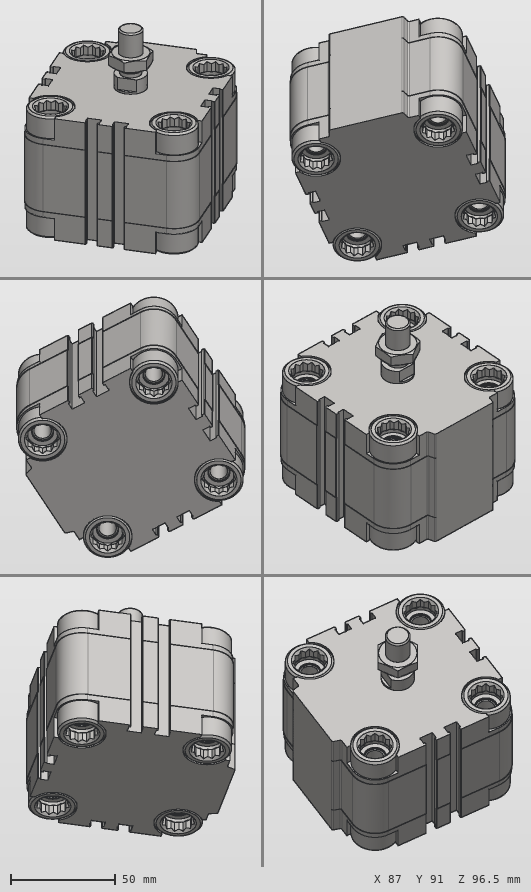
import cadquery as cq
import math

BODY_HALF = 43.5
BODY_HEIGHT = 65.1
CAP_HEIGHT = 14.6
CAP_INSET = 0.24
FOOT_REACH = 47.5
FOOT_TOP_HALF = 18.7
FOOT_BASE_HALF = 20.0
FOOT_FILLET = 0.8

SLOT_OFFSET = 6.8
SLOT_OPENING = 5.5
SLOT_WIDTH = 6.9
SLOT_DEPTH = 5.4
SLOT_LIP = 1.8
SLOT_EDGE_CHAMFER = 0.4
SLOT_SIDE_ANGLES = (0, 90, -90)

BOSS_OFFSET = 30.9
BOSS_DIAMETER = 23.4
BOSS_CHAMFER = 1.1
CORNER_STEP_EDGE = 25.3
CORNER_STEP_DEPTH = 11.5
SOCKET_MOUTH_DIAMETER = 17.4
SOCKET_TIP_DIAMETER = 16.0
SOCKET_POINTS = 12
SOCKET_DEPTH = 6.0
SOCKET_MOUTH_ANGLE = 48
SOCKET_FLOOR_DEPTH = 8.0
RELIEF_DIAMETER = 15.4
SEAT_DIAMETER = 10.0
SEAT_CHAMFER = 0.3
SEAT_DEPTH = 1.0
THROUGH_DIAMETER = 8.4

ROD_TOP = 96.5
ROD_DIAMETER = 16.0
ROD_SHOULDER = 72.6
FLAT_BOTTOM = 66.2
FLAT_WIDTH = 12.9
NECK_DIAMETER = 10.6
THREAD_DIAMETER = 12.0
THREAD_BOTTOM = 74.6
THREAD_CHAMFER = 0.8
ROD_BOTTOM = BODY_HEIGHT - CAP_HEIGHT

NUT_BOTTOM = 77.4
NUT_THICKNESS = 6.3
NUT_ACROSS_FLATS = 19.0
NUT_FACE_DIAMETER = 18.3
NUT_CHAMFER_ANGLE = 20


def profile(inset, height):
    """Rounded square with the foot; the inset shrinks the square but not the foot."""
    half = BODY_HALF - inset
    square = (
        cq.Workplane("XY").rect(2 * half, 2 * half).extrude(height)
        .edges("|Z").fillet(half - BOSS_OFFSET)
    )
    foot = (
        cq.Workplane("XY")
        .moveTo(-FOOT_BASE_HALF, 0)
        .lineTo(-FOOT_BASE_HALF, half)
        .lineTo(-FOOT_TOP_HALF, FOOT_REACH)
        .lineTo(FOOT_TOP_HALF, FOOT_REACH)
        .lineTo(FOOT_BASE_HALF, half)
        .lineTo(FOOT_BASE_HALF, 0)
        .close()
        .extrude(height)
    )
    foot_corners = cq.selectors.BoxSelector(
        (-FOOT_BASE_HALF - 1, half - 1, -1),
        (FOOT_BASE_HALF + 1, FOOT_REACH + 1, height + 1),
    )
    return square.union(foot).edges("|Z").edges(foot_corners).fillet(FOOT_FILLET)


def slot_pair(half):
    """The two T-slots of the -Y side, for a side face at the given distance from the centre."""
    lip_edge = -BODY_HALF + SLOT_LIP
    floor = -BODY_HALF + SLOT_DEPTH
    opening = SLOT_OPENING / 2
    width = SLOT_WIDTH / 2
    mouth = opening + SLOT_EDGE_CHAMFER
    right_side = [
        (mouth, -half - 1),
        (mouth, -half),
        (opening, -half + SLOT_EDGE_CHAMFER),
        (opening, lip_edge),
        (width, lip_edge),
        (width, floor),
    ]
    left_side = [(-x, y) for x, y in reversed(right_side)]
    slot = cq.Workplane("XY").polyline(right_side + left_side).close().extrude(BODY_HEIGHT)
    return slot.translate((SLOT_OFFSET, 0, 0)).union(slot.translate((-SLOT_OFFSET, 0, 0)))


def slotted_section(inset, bottom, height):
    """One length of the housing with the T-slots cut into it."""
    section = profile(inset, height)
    for angle in SLOT_SIDE_ANGLES:
        section = section.cut(slot_pair(BODY_HALF - inset).rotate((0, 0, 0), (0, 0, 1), angle))
    return section.translate((0, 0, bottom))


def turned(points):
    """Solid turned about Z from (radius, height) points."""
    return cq.Workplane("XZ").polyline(points).close().revolve(360, (0, 0, 0), (0, 1, 0))


def corner_step():
    """Material removed around a boss at the top of the +X +Y corner, with the boss axis on Z."""
    size = 2 * BOSS_OFFSET
    edge = CORNER_STEP_EDGE - BOSS_OFFSET
    block = cq.Workplane("XY").box(size, size, CORNER_STEP_DEPTH, centered=False)
    block = block.translate((edge, edge, -CORNER_STEP_DEPTH))
    boss = cq.Workplane("XY").circle(BOSS_DIAMETER / 2).extrude(-CORNER_STEP_DEPTH)
    radius = BOSS_DIAMETER / 2
    groove = turned([(radius - BOSS_CHAMFER, 0), (radius, 0), (radius, -BOSS_CHAMFER)])
    return block.cut(boss).union(groove)


def socket():
    """Twelve-point socket with its conical mouth, relief and screw seat, opening at Z = 0."""
    hexagon = (
        cq.Workplane("XY")
        .polygon(SOCKET_POINTS // 2, SOCKET_TIP_DIAMETER)
        .extrude(-SOCKET_DEPTH)
    )
    star = hexagon.union(hexagon.rotate((0, 0, 0), (0, 0, 1), 360 / SOCKET_POINTS))
    mouth_radius = SOCKET_MOUTH_DIAMETER / 2
    cone_depth = mouth_radius * math.tan(math.radians(SOCKET_MOUTH_ANGLE))
    mouth = turned([(0, 0), (mouth_radius, 0), (0, -cone_depth)])
    relief_radius = RELIEF_DIAMETER / 2
    seat_radius = SEAT_DIAMETER / 2
    seat_bottom = -SOCKET_FLOOR_DEPTH - SEAT_DEPTH
    relief = turned([
        (0, -SOCKET_DEPTH),
        (relief_radius, -SOCKET_DEPTH),
        (relief_radius, -SOCKET_FLOOR_DEPTH),
        (seat_radius + SEAT_CHAMFER, -SOCKET_FLOOR_DEPTH),
        (seat_radius, -SOCKET_FLOOR_DEPTH - SEAT_CHAMFER),
        (seat_radius, seat_bottom),
        (0, seat_bottom),
    ])
    return star.union(mouth).union(relief)


def corner_cut():
    """Everything removed at the +X +Y corner, at both ends, plus the through hole."""
    top = corner_step().union(socket()).translate((BOSS_OFFSET, BOSS_OFFSET, BODY_HEIGHT))
    bottom = top.mirror("XY", (0, 0, BODY_HEIGHT / 2))
    hole = (
        cq.Workplane("XY")
        .center(BOSS_OFFSET, BOSS_OFFSET)
        .circle(THROUGH_DIAMETER / 2)
        .extrude(BODY_HEIGHT)
    )
    return top.union(bottom).union(hole)


def make_housing():
    tube_height = BODY_HEIGHT - 2 * CAP_HEIGHT
    housing = (
        slotted_section(0, CAP_HEIGHT, tube_height)
        .union(slotted_section(CAP_INSET, 0, CAP_HEIGHT))
        .union(slotted_section(CAP_INSET, BODY_HEIGHT - CAP_HEIGHT, CAP_HEIGHT))
    )
    corner = corner_cut()
    for quarter in range(4):
        housing = housing.cut(corner.rotate((0, 0, 0), (0, 0, 1), 90 * quarter))
    rod_bore = cq.Workplane("XY", origin=(0, 0, ROD_BOTTOM)).circle(ROD_DIAMETER / 2).extrude(CAP_HEIGHT)
    return housing.cut(rod_bore)


def make_rod():
    thread_radius = THREAD_DIAMETER / 2
    rod = turned([
        (0, ROD_BOTTOM),
        (ROD_DIAMETER / 2, ROD_BOTTOM),
        (ROD_DIAMETER / 2, ROD_SHOULDER),
        (NECK_DIAMETER / 2, ROD_SHOULDER),
        (NECK_DIAMETER / 2, THREAD_BOTTOM),
        (thread_radius, THREAD_BOTTOM + THREAD_CHAMFER),
        (thread_radius, ROD_TOP - THREAD_CHAMFER),
        (thread_radius - THREAD_CHAMFER, ROD_TOP),
        (0, ROD_TOP),
    ])
    for side in (1, -1):
        flat = (
            cq.Workplane("XY", origin=(0, side * (FLAT_WIDTH + ROD_DIAMETER) / 2, FLAT_BOTTOM))
            .rect(ROD_DIAMETER, ROD_DIAMETER)
            .extrude(ROD_SHOULDER - FLAT_BOTTOM)
        )
        rod = rod.cut(flat)
    return rod


def make_nut():
    corner_radius = NUT_ACROSS_FLATS / 2 / math.cos(math.radians(30))
    face_radius = NUT_FACE_DIAMETER / 2
    chamfer = (corner_radius - face_radius) * math.tan(math.radians(NUT_CHAMFER_ANGLE))
    nut_top = NUT_BOTTOM + NUT_THICKNESS
    hexagon = (
        cq.Workplane("XY", origin=(0, 0, NUT_BOTTOM))
        .polygon(6, 2 * corner_radius)
        .extrude(NUT_THICKNESS)
        .rotate((0, 0, 0), (0, 0, 1), 90)
    )
    blank = turned([
        (THREAD_DIAMETER / 2, NUT_BOTTOM),
        (face_radius, NUT_BOTTOM),
        (corner_radius, NUT_BOTTOM + chamfer),
        (corner_radius, nut_top - chamfer),
        (face_radius, nut_top),
        (THREAD_DIAMETER / 2, nut_top),
    ])
    return hexagon.intersect(blank)


housing = make_housing()
piston_rod = make_rod()
lock_nut = make_nut()

result = cq.Compound.makeCompound([housing.val(), piston_rod.val(), lock_nut.val()])